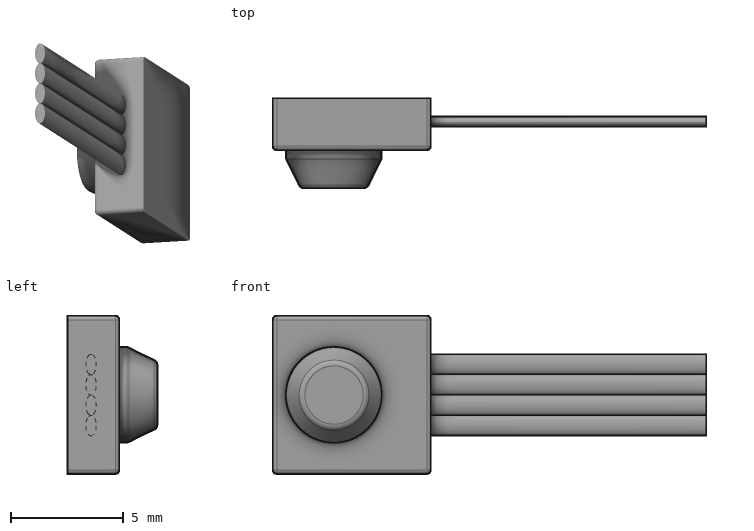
import cadquery as cq

housing_side = 7.0
housing_depth = 2.3
housing_fillet = 0.2

overall_depth = 4.0
button_diameter = 4.25
button_tip_diameter = 2.94
button_center_x = 2.7
button_straight = 0.36
shoulder_fillet = 0.2
tip_fillet = 0.29

wire_count = 4
wire_height = 0.9
wire_thickness = 0.46
wire_center_y = -1.04
overall_length = 19.2
wire_length = overall_length - housing_side


def make_button():
    """Revolved button standing on the front face of the housing."""
    button_height = overall_depth - housing_depth
    profile = (
        cq.Workplane("XY")
        .lineTo(button_diameter / 2, 0)
        .lineTo(button_diameter / 2, -button_straight)
        .lineTo(button_tip_diameter / 2, -button_height)
        .lineTo(0, -button_height)
        .close()
    )
    button = profile.revolve(360, (0, 0, 0), (0, 1, 0))
    button = button.faces("<Y").edges().fillet(tip_fillet)
    shoulder = cq.selectors.RadiusNthSelector(-1)
    button = button.faces("%CONE").edges(shoulder).fillet(shoulder_fillet)
    return button.translate((button_center_x, -housing_depth, 0))


def make_housing():
    """Box with every edge rounded except those of the back face, with its button."""
    box = cq.Workplane("XY").box(
        housing_side, housing_depth, housing_side, centered=(False, False, True)
    )
    box = box.translate((0, -housing_depth, 0))
    box = box.edges("|Y or <Y").fillet(housing_fillet)
    return box.union(make_button())


def make_wire(center_z):
    """One straight wire starting at the right side of the housing."""
    return (
        cq.Workplane("YZ", origin=(housing_side, wire_center_y, center_z))
        .ellipse(wire_thickness / 2, wire_height / 2)
        .extrude(wire_length)
    )


housing = make_housing()

wires = []
for index in range(wire_count):
    center_z = (index - (wire_count - 1) / 2) * wire_height
    wires.append(make_wire(center_z))

result = cq.Compound.makeCompound([housing.val(), *[wire.val() for wire in wires]])